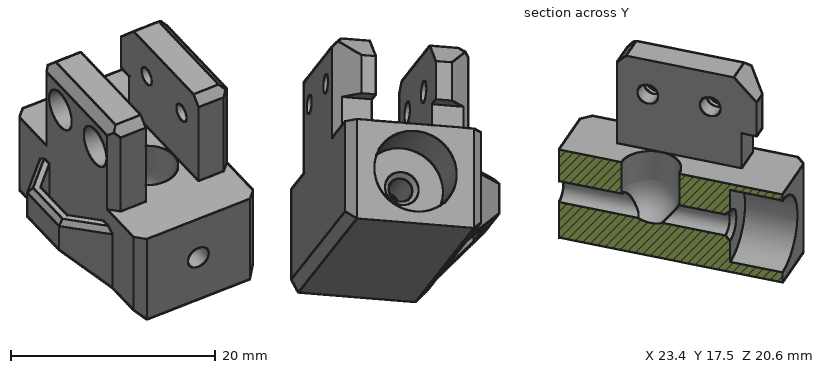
import cadquery as cq

length = 23.35
width = 13.72
block_height = 10.27
edge_chamfer = 0.95

total_height = 20.63
gap = 6.05
cheek_left = 3.83
cheek_right = 18.42
nose_chamfer = 2.38
front_flank_chamfer = 2.22
back_flank_chamfer = 2.38
notch_depth = 1.56
notch_top = 14.3

screw_xs = (8.68, 15.2)
screw_z = 16.66
near_hole_diameter = 2.15
far_hole_diameter = 1.9
head_diameter = 4.25
head_depth = 2.0

bore_diameter = 8.3
bore_depth = 5.45
bore_z = 5.37
rod_diameter = 2.38
countersink_diameter = 3.38
socket_diameter = 6.0
socket_x = 13.8
socket_center_z = 6.89

total_width = 17.53
loop_reach = total_width - width
loop_top = 8.33
loop_front_length = 5.98
loop_wall = 1.21
loop_chamfer = 0.54

front = -width / 2
cheek_width = (width - gap) / 2


def block():
    body = cq.Workplane("XY").box(length, width, block_height, centered=(False, True, False))
    body = body.edges("|Z").chamfer(edge_chamfer)
    section = (
        cq.Workplane("YZ")
        .moveTo(front + edge_chamfer, 0)
        .lineTo(-front - edge_chamfer, 0)
        .lineTo(-front, edge_chamfer)
        .lineTo(-front, block_height)
        .lineTo(front, block_height)
        .lineTo(front, edge_chamfer)
        .close()
        .extrude(length)
    )
    return body.intersect(section)


def cheek(flank_chamfer):
    """Cheek on the front side; flank_chamfer bevels its outer upright edge at the nose."""
    profile = (
        cq.Workplane("XZ", origin=(0, -gap / 2, 0))
        .moveTo(cheek_left + notch_depth, bore_z)
        .lineTo(cheek_left + notch_depth, notch_top)
        .lineTo(cheek_left, notch_top)
        .lineTo(cheek_left, total_height - nose_chamfer)
        .lineTo(cheek_left + nose_chamfer, total_height)
        .lineTo(cheek_right - edge_chamfer, total_height)
        .lineTo(cheek_right, total_height - edge_chamfer)
        .lineTo(cheek_right, bore_z)
        .close()
        .extrude(cheek_width)
    )
    plan = (
        cq.Workplane("XY")
        .moveTo(cheek_left, -gap / 2)
        .lineTo(cheek_left, front + flank_chamfer)
        .lineTo(cheek_left + flank_chamfer, front)
        .lineTo(cheek_right - edge_chamfer, front)
        .lineTo(cheek_right, front + edge_chamfer)
        .lineTo(cheek_right, -gap / 2)
        .close()
        .extrude(total_height)
    )
    top_bevel = (
        cq.Workplane("YZ")
        .moveTo(front, total_height)
        .lineTo(front + edge_chamfer, total_height)
        .lineTo(front, total_height - edge_chamfer)
        .close()
        .extrude(length)
    )
    return profile.intersect(plan).cut(top_bevel)


def loop_plan(reach, front_length, height):
    """Trapezoid prism with 45 degree flanks, standing on the front face of the block."""
    half_front = front_length / 2
    return (
        cq.Workplane("XY", origin=(length / 2, front, 0))
        .moveTo(-half_front - reach, 0)
        .lineTo(-half_front, -reach)
        .lineTo(half_front, -reach)
        .lineTo(half_front + reach, 0)
        .close()
        .extrude(height)
    )


def loop():
    outer = loop_plan(loop_reach, loop_front_length, loop_top)
    outer = outer.faces(">Z").edges("not >Y").chamfer(loop_chamfer)
    mitre_shift = loop_wall * (2**0.5 - 1)
    opening = loop_plan(loop_reach - loop_wall, loop_front_length - 2 * mitre_shift, loop_top)
    underside = (
        cq.Workplane("YZ")
        .moveTo(front, 0)
        .lineTo(front, edge_chamfer)
        .lineTo(front - loop_reach, edge_chamfer + loop_reach)
        .lineTo(front - loop_reach, 0)
        .close()
        .extrude(length)
    )
    return outer.cut(opening).cut(underside)


def x_cylinder(diameter, start, end):
    return cq.Workplane("YZ", origin=(start, 0, bore_z)).circle(diameter / 2).extrude(end - start)


def bore_and_rod_hole():
    countersink_depth = (countersink_diameter - rod_diameter) / 2
    countersink = cq.Workplane(
        cq.Solid.makeCone(
            countersink_diameter / 2,
            rod_diameter / 2,
            countersink_depth,
            pnt=cq.Vector(bore_depth, 0, bore_z),
            dir=cq.Vector(1, 0, 0),
        )
    )
    bore = x_cylinder(bore_diameter, 0, bore_depth)
    return bore.union(x_cylinder(rod_diameter, 0, length)).union(countersink)


def ball_socket():
    center = (socket_x, 0, socket_center_z)
    ball = cq.Workplane("XY", origin=center).sphere(socket_diameter / 2)
    shaft = cq.Workplane("XY", origin=center).circle(socket_diameter / 2).extrude(total_height)
    return ball.union(shaft)


def y_cylinder(x, diameter, start, end):
    return cq.Workplane("XZ", origin=(x, end, screw_z)).circle(diameter / 2).extrude(end - start)


def screw_hole(x):
    far_hole = y_cylinder(x, far_hole_diameter, 0, width / 2)
    near_hole = y_cylinder(x, near_hole_diameter, front, 0)
    head = y_cylinder(x, head_diameter, front, front + head_depth)
    return far_hole.union(near_hole).union(head)


back_cheek = cheek(back_flank_chamfer).mirror("XZ")
result = block().union(cheek(front_flank_chamfer)).union(back_cheek).union(loop())
result = result.cut(bore_and_rod_hole()).cut(ball_socket())
for screw_x in screw_xs:
    result = result.cut(screw_hole(screw_x))